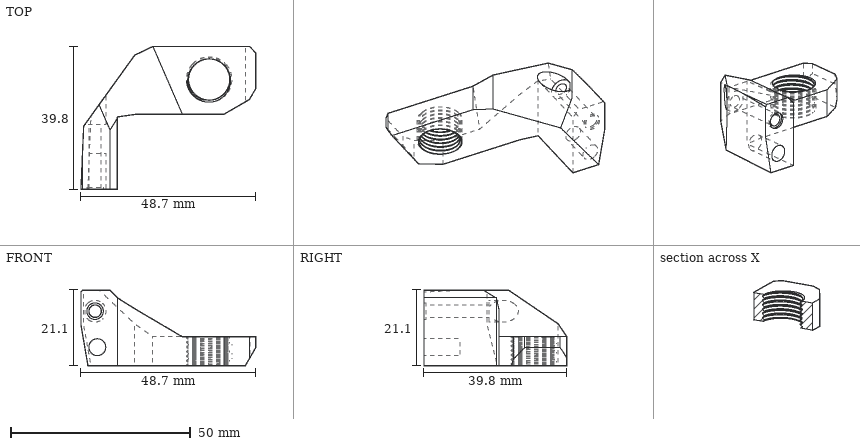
import cadquery as cq
import math

LENGTH = 48.73
WIDTH = 39.8
HEIGHT = 21.06
CLEARANCE = 5.0

LEG_WIDTH = 10.16
LEG_OUTER_LENGTH = 17.6
LEG_INNER_LENGTH = 20.15
LEG_DRAFT = 0.76
TAPER_HEIGHT = 11.45
TAPER_INSET = 1.95
INNER_CHAMFER = 2.03
OUTER_CHAMFER_WIDTH = 0.46
OUTER_CHAMFER_HEIGHT = 0.56

PLATE_THICKNESS = 8.09
PLATE_FRONT = 20.9
ELBOW_X = 15.4
DIAGONAL_END = (15.0, 37.4)
BACK_START_X = 20.0
BACK_CORNER = (1.7, 1.85)
FRONT_CORNER_START_X = 39.85
FRONT_CORNER_END = (46.9, 25.0)
END_FACE_START_Y = 28.05
END_CHAMFER_HEIGHT = 5.08
END_CHAMFER_ANGLE = 30.0

SLOPE_TURN = 23.5
SLOPE_TOP = 14.06
SLOPE_BOTTOM = 34.27

SCREW_X = 3.98
SCREW_Z = 15.2
SCREW_DIAMETER = 3.4
ENTRY_DIAMETER = 4.6
ENTRY_DEPTH = 0.6
HEAD_DIAMETER = 6.05
HEAD_SEAT_Y = 18.1

BLIND_X = 4.6
BLIND_Z = 5.18
BLIND_DIAMETER = 4.7
BLIND_DEPTH = 10.0

THREAD_X = 35.72
THREAD_Y = 30.6
THREAD_MINOR_DIAMETER = 11.43
THREAD_MAJOR_DIAMETER = 12.65
THREAD_PITCH = 1.27
THREAD_GAP = 0.1
THREAD_ROOT = 0.05
THREAD_OVERLAP = 0.05
THREAD_TURNS = 9
TURNS_TO_TOP = 7.75


def block():
    """Plan outline raised to the full height."""
    outline = [
        (0, 0),
        (LEG_DRAFT, LEG_OUTER_LENGTH),
        DIAGONAL_END,
        (BACK_START_X, WIDTH),
        (LENGTH - BACK_CORNER[0], WIDTH),
        (LENGTH, WIDTH - BACK_CORNER[1]),
        (LENGTH, END_FACE_START_Y),
        FRONT_CORNER_END,
        (FRONT_CORNER_START_X, PLATE_FRONT),
        (ELBOW_X, PLATE_FRONT),
        (LEG_WIDTH, LEG_INNER_LENGTH),
        (LEG_WIDTH, 0),
    ]
    return cq.Workplane("XY").polyline(outline).close().extrude(HEIGHT)


def prism_along_y(profile, start, end):
    """Prism with an XZ profile, running from Y = start to Y = end."""
    plane = cq.Workplane("XZ", origin=(0, start, 0))
    return plane.polyline(profile).close().extrude(start - end)


def cylinder_along_y(x, z, diameter, start, end):
    plane = cq.Workplane("XZ", origin=(x, start, z))
    return plane.circle(diameter / 2).extrude(start - end)


def turned(body, angle):
    return body.rotate((0, 0, 0), (0, 0, 1), angle)


def slope_cut():
    """Everything above the sloping top and the plate."""
    far = LENGTH + WIDTH
    profile = [
        (SLOPE_TOP, HEIGHT),
        (SLOPE_BOTTOM, PLATE_THICKNESS),
        (far, PLATE_THICKNESS),
        (far, HEIGHT),
    ]
    return turned(prism_along_y(profile, -far, far), SLOPE_TURN)


def leg_taper_cut():
    """Undercut of the outer wall, following the wall's draft."""
    profile = [
        (0, TAPER_HEIGHT),
        (TAPER_INSET, 0),
        (-CLEARANCE, 0),
        (-CLEARANCE, TAPER_HEIGHT),
    ]
    draft_angle = math.degrees(math.atan2(LEG_DRAFT, LEG_OUTER_LENGTH))
    return turned(prism_along_y(profile, -CLEARANCE, WIDTH), -draft_angle)


def leg_chamfer_cuts():
    """Bevels along the two top edges of the leg, both parallel to Y."""
    inner = [
        (LEG_WIDTH - INNER_CHAMFER, HEIGHT),
        (LEG_WIDTH, HEIGHT),
        (LEG_WIDTH, HEIGHT - INNER_CHAMFER),
    ]
    outer = [
        (0, HEIGHT),
        (OUTER_CHAMFER_WIDTH, HEIGHT),
        (0, HEIGHT - OUTER_CHAMFER_HEIGHT),
    ]
    inner_cut = prism_along_y(inner, 0, PLATE_FRONT)
    outer_cut = prism_along_y(outer, 0, LEG_OUTER_LENGTH)
    return inner_cut.union(outer_cut)


def end_chamfer_cut():
    """Bevel under the plate's far end."""
    run = END_CHAMFER_HEIGHT * math.tan(math.radians(END_CHAMFER_ANGLE))
    profile = [(LENGTH - run, 0), (LENGTH, 0), (LENGTH, END_CHAMFER_HEIGHT)]
    return prism_along_y(profile, 0, WIDTH)


def screw_hole():
    """Through hole with a shallow counterbored entry and a head recess opening on the diagonal wall."""
    shank = cylinder_along_y(SCREW_X, SCREW_Z, SCREW_DIAMETER, 0, HEAD_SEAT_Y)
    head = cylinder_along_y(SCREW_X, SCREW_Z, HEAD_DIAMETER, HEAD_SEAT_Y, WIDTH)
    entry = cylinder_along_y(SCREW_X, SCREW_Z, ENTRY_DIAMETER, 0, ENTRY_DEPTH)
    return shank.union(head).union(entry)


def blind_hole():
    return cylinder_along_y(BLIND_X, BLIND_Z, BLIND_DIAMETER, 0, BLIND_DEPTH)


def thread_bore():
    plane = cq.Workplane("XY", origin=(THREAD_X, THREAD_Y, 0))
    return plane.circle(THREAD_MINOR_DIAMETER / 2).extrude(PLATE_THICKNESS)


def thread_turn():
    """One turn of the right-handed V groove, its start on the +X side at Z = 0."""
    inner = THREAD_MINOR_DIAMETER / 2 - THREAD_OVERLAP
    outer = THREAD_MAJOR_DIAMETER / 2
    mouth = (THREAD_PITCH - THREAD_GAP) / 2
    root = THREAD_ROOT / 2
    profile = [(inner, -mouth), (outer, -root), (outer, root), (inner, mouth)]
    helix = cq.Wire.makeHelix(THREAD_PITCH, THREAD_PITCH, inner)
    return cq.Workplane("XZ").polyline(profile).close().sweep(cq.Workplane(helix), isFrenet=True)


def cut_thread(body):
    """Bore the plate and cut the groove turn by turn, running past both faces of the plate."""
    body = body.cut(thread_bore())
    turn = thread_turn()
    start_z = PLATE_THICKNESS - TURNS_TO_TOP * THREAD_PITCH
    for index in range(THREAD_TURNS):
        body = body.cut(turn.translate((THREAD_X, THREAD_Y, start_z + index * THREAD_PITCH)))
    return body


body = (
    block()
    .cut(slope_cut())
    .cut(leg_taper_cut())
    .cut(leg_chamfer_cuts())
    .cut(end_chamfer_cut())
    .cut(screw_hole())
    .cut(blind_hole())
)
result = cut_thread(body)